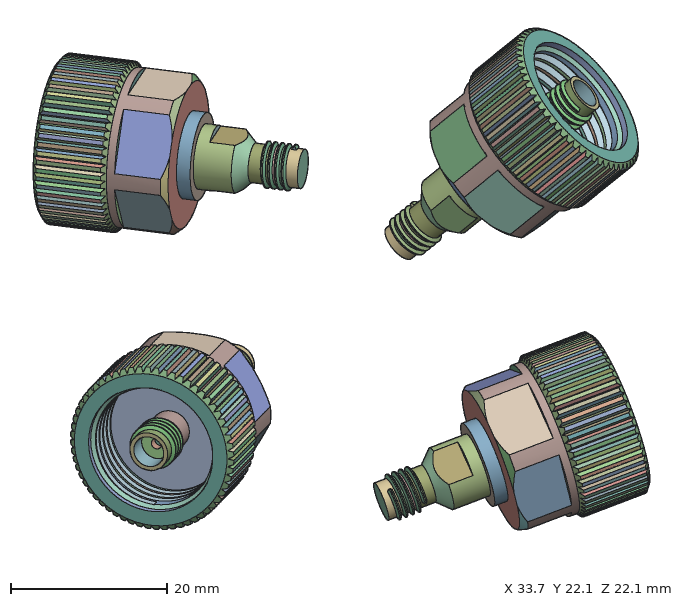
import cadquery as cq
import math

overall_length = 33.7

sleeve_start = 0.75
sleeve_end = 10.5
knurl_diameter = 22.15
knurl_radius = knurl_diameter / 2
knurl_chamfer = 0.6
sleeve_face_radius = 10.35
knurl_count = 60
knurl_groove_width = 0.6
knurl_root_radius = 10.5
knurl_groove_reach = 2.0

collar_radius = 10.38
collar_end = 11.6
hex_across_flats = 19.0
hex_end = 18.5
hex_chamfer = 0.8

shoulder_radius = 5.7
shoulder_end = 20.32
neck_radius = 4.25
neck_end = 25.38
neck_flats_start = 22.05
neck_across_flats = 6.8
cone_end = 27.13

barrel_radius = 2.55
barrel_crest_radius = 3.03
barrel_pitch = 0.9
barrel_turns = 4.2
thread_setback = 1.18
thread_crest_width = 0.17
thread_base_width = 0.67
thread_overlap = 0.1

socket_radius = 2.02
socket_depth = 3.03
contact_hole_radius = 0.7
contact_hole_depth = 1.35

bore_radius = 7.95
bore_floor = 8.42
mouth_radius = 8.42
mouth_depth = 0.85
bore_pitch = 1.4
bore_turns = 4.7
bore_thread_start = 2.53
bore_thread_start_angle = 270.0
bore_groove_width = 1.0
bore_groove_depth = 0.88


def cylinder(radius, start, end):
    """Solid cylinder around the X axis between two X positions."""
    return cq.Workplane("YZ", origin=(start, 0, 0)).circle(radius).extrude(end - start)


def revolved(points):
    """Solid of revolution around X from (x, radius) points."""
    return cq.Workplane("XY").polyline(points).close().revolve(360, (0, 0, 0), (1, 0, 0))


def helical_sweep(profile, radius, pitch, turns, start, start_angle):
    """Right-hand sweep of (radius, offset) points; angles run from +Y towards +Z."""
    path = cq.Workplane(cq.Wire.makeHelix(pitch, pitch * turns, radius))
    coil = cq.Workplane("XZ").polyline(profile).close().sweep(path, isFrenet=True)
    along_x = coil.rotate((0, 0, 0), (1, 1, 1), 120)
    return along_x.rotate((0, 0, 0), (1, 0, 0), start_angle).translate((start, 0, 0))


def coupling_nut():
    """Knurled sleeve, collar and chamfered hexagon as one solid."""
    sleeve = revolved([
        (sleeve_start, 0),
        (sleeve_start, sleeve_face_radius),
        (sleeve_start + knurl_chamfer, knurl_radius),
        (sleeve_end - knurl_chamfer, knurl_radius),
        (sleeve_end, sleeve_face_radius),
        (sleeve_end, 0),
    ])
    groove_depth = knurl_radius - knurl_root_radius
    mouth_half_width = knurl_groove_width / 2 * knurl_groove_reach
    mouth_radius_beyond = knurl_root_radius + groove_depth * knurl_groove_reach
    groove = (
        cq.Workplane("YZ", origin=(sleeve_start, 0, 0))
        .moveTo(0, knurl_root_radius)
        .lineTo(mouth_half_width, mouth_radius_beyond)
        .lineTo(-mouth_half_width, mouth_radius_beyond)
        .close()
        .extrude(sleeve_end - sleeve_start)
    )
    for index in range(knurl_count):
        sleeve = sleeve.cut(groove.rotate((0, 0, 0), (1, 0, 0), index * 360 / knurl_count))

    collar = cylinder(collar_radius, sleeve_end, collar_end)
    corner_diameter = hex_across_flats / math.cos(math.pi / 6)
    prism = (
        cq.Workplane("YZ", origin=(collar_end, 0, 0))
        .polygon(6, corner_diameter)
        .extrude(hex_end - collar_end)
    )
    turned_corners = cylinder(collar_radius, collar_end, hex_end).faces(">X").chamfer(hex_chamfer)
    return sleeve.union(collar).union(prism.intersect(turned_corners))


def nut_bore():
    """Bore with a coned mouth, before threading."""
    mouth_end = sleeve_start + mouth_depth
    cone_length = mouth_radius - bore_radius
    return revolved([
        (sleeve_start, 0),
        (sleeve_start, mouth_radius),
        (mouth_end, mouth_radius),
        (mouth_end + cone_length, bore_radius),
        (bore_floor, bore_radius),
        (bore_floor, 0),
    ])


def bore_thread_groove():
    """Internal V thread groove, to be cut outwards from the bore wall."""
    flank_slope = bore_groove_width / 2 / bore_groove_depth
    half_width = flank_slope * (bore_groove_depth + thread_overlap)
    profile = [
        (bore_radius - thread_overlap, -half_width),
        (bore_radius + bore_groove_depth, 0),
        (bore_radius - thread_overlap, half_width),
    ]
    groove = helical_sweep(
        profile, bore_radius, bore_pitch, bore_turns, bore_thread_start, bore_thread_start_angle
    )
    return groove.intersect(cylinder(knurl_radius, sleeve_start, bore_floor))


def barrel_thread():
    """External thread of the right barrel, ending on the +Z side."""
    half_crest = thread_crest_width / 2
    flank_slope = (thread_base_width / 2 - half_crest) / (barrel_crest_radius - barrel_radius)
    half_foot = thread_base_width / 2 + flank_slope * thread_overlap
    profile = [
        (barrel_radius - thread_overlap, -half_foot),
        (barrel_crest_radius, -half_crest),
        (barrel_crest_radius, half_crest),
        (barrel_radius - thread_overlap, half_foot),
    ]
    start = overall_length - thread_setback - barrel_pitch * barrel_turns
    start_angle = 90 - 360 * barrel_turns
    return helical_sweep(profile, barrel_radius, barrel_pitch, barrel_turns, start, start_angle)


def neck():
    """Shoulder, neck and cone, with two flats facing +Z and -Z."""
    shoulder = cylinder(shoulder_radius, hex_end, shoulder_end)
    body = revolved([
        (shoulder_end, 0),
        (shoulder_end, neck_radius),
        (neck_end, neck_radius),
        (cone_end, barrel_radius),
        (cone_end, 0),
    ])
    flat_cut_depth = neck_radius
    for side in (1, -1):
        beyond_flat = (
            cq.Workplane("YZ", origin=(neck_flats_start, 0, 0))
            .center(0, side * (neck_across_flats + flat_cut_depth) / 2)
            .rect(2 * shoulder_radius, flat_cut_depth)
            .extrude(cone_end - neck_flats_start)
        )
        body = body.cut(beyond_flat)
    return shoulder.union(body)


def inner_barrel(thread):
    """Barrel standing on the bore floor; its thread is that of the right barrel turned end for end."""
    turned_thread = thread.rotate((0, 0, 0), (0, 1, 0), 180).translate((overall_length, 0, 0))
    socket = cylinder(socket_radius, 0, socket_depth)
    contact_hole = cylinder(contact_hole_radius, socket_depth, socket_depth + contact_hole_depth)
    barrel = cylinder(barrel_radius, 0, bore_floor)
    return barrel.union(turned_thread).cut(socket).cut(contact_hole)


thread = barrel_thread()
right_barrel = cylinder(barrel_radius, cone_end, overall_length).union(thread)
result = (
    coupling_nut()
    .cut(nut_bore())
    .cut(bore_thread_groove())
    .union(neck())
    .union(right_barrel)
    .union(inner_barrel(thread))
)